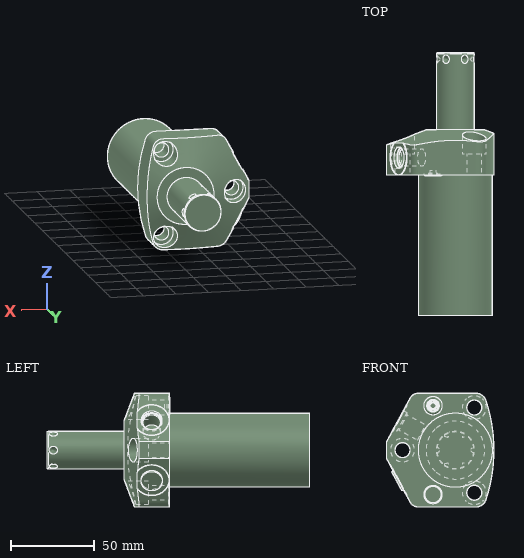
import cadquery as cq
import math


total_length = 157.4
flange_thickness = 27.2
body_length = 84.0
rod_length = total_length - flange_thickness - body_length
body_radius = 22.2
rod_radius = 11.3
rod_chamfer_length = 1.0
rod_chamfer_depth = 0.3

flange_left = -41.2
flange_right = 23.1
flange_half_height = 34.1
left_flat_half_height = 5.0
left_shoulder_x = -25.5
right_arc_radius = 94.4
left_corner_radius = 6.0
right_corner_radius = 6.6

front_face_radius = 17.5
cone_angle = math.radians(20.8)
cone_blank_radius = 63.0

mount_hole_radius = 4.4
mount_counterbore_radius = 7.1
mount_counterbore_floor_y = 12.6
mount_hole_places = [(-31.6, 0.0), (11.3, 25.5), (11.3, -25.5)]

back_port_x = -13.4
back_port_z = 26.6
back_port_radius = 5.5
ring_section_radius = 1.1
ring_protrusion = 0.5
back_bore_radius = 3.8
back_bore_floor_radius = 2.4
back_bore_depth = 1.3
back_pilot_radius = 1.7
back_pilot_depth = 2.8
back_plug_radius = 4.9
plug_groove_depth = 0.6

side_port_y = 10.5
side_port_z = 18.1
spotface_radius = 10.4
spotface_depth = 0.5
side_mouth_radius = 6.3
side_mouth_depth = 2.5
side_cone_radius = 5.7
side_bore_radius = 5.2
side_cone_end = 3.3
side_bore_end = 15.9
side_plug_radius = 6.5
side_plug_protrusion = 1.1

dimple_count = 6
dimple_radius = 2.5
dimple_setback = 4.0

cut_overlap = 1.5
backward = cq.Vector(0, -1, 0)
forward = cq.Vector(0, 1, 0)


def cylinder(radius, start, direction, length):
    return cq.Solid.makeCylinder(radius, length, start, direction)


def make_flange():
    arc_sag = right_arc_radius - math.sqrt(right_arc_radius**2 - flange_half_height**2)
    right_corner_x = flange_right - arc_sag
    plate = (
        cq.Workplane("XZ")
        .moveTo(flange_left, -left_flat_half_height)
        .lineTo(left_shoulder_x, -flange_half_height)
        .lineTo(right_corner_x, -flange_half_height)
        .threePointArc((flange_right, 0), (right_corner_x, flange_half_height))
        .lineTo(left_shoulder_x, flange_half_height)
        .lineTo(flange_left, left_flat_half_height)
        .close()
        .extrude(-flange_thickness)
    )
    for corner_x, radius in (
        (left_shoulder_x, left_corner_radius),
        (right_corner_x, right_corner_radius),
    ):
        for corner_z in (-flange_half_height, flange_half_height):
            corner = cq.selectors.NearestToPointSelector((corner_x, flange_thickness / 2, corner_z))
            plate = plate.edges("|Y").edges(corner).fillet(radius)

    rim_y = flange_thickness - (cone_blank_radius - front_face_radius) * math.tan(cone_angle)
    cone_blank = (
        cq.Workplane("XY")
        .polyline([
            (0, 0),
            (cone_blank_radius, 0),
            (cone_blank_radius, rim_y),
            (front_face_radius, flange_thickness),
            (0, flange_thickness),
        ])
        .close()
        .revolve(360, (0, 0), (0, 1))
    )
    flange = plate.intersect(cone_blank)
    for x, z in mount_hole_places:
        through_start = cq.Vector(x, 0, z)
        counterbore_start = cq.Vector(x, mount_counterbore_floor_y, z)
        flange = flange.cut(cylinder(mount_hole_radius, through_start, forward, flange_thickness))
        flange = flange.cut(cylinder(mount_counterbore_radius, counterbore_start, forward, flange_thickness))
    return flange


def make_rod():
    tip_y = flange_thickness + rod_length
    rod = (
        cq.Workplane("XY")
        .polyline([
            (0, 0),
            (rod_radius, 0),
            (rod_radius, tip_y - rod_chamfer_length),
            (rod_radius - rod_chamfer_depth, tip_y),
            (0, tip_y),
        ])
        .close()
        .revolve(360, (0, 0), (0, 1))
    )
    base_radius = dimple_radius + cut_overlap
    for index in range(dimple_count):
        angle = 2 * math.pi * index / dimple_count
        inward = cq.Vector(-math.cos(angle), 0, -math.sin(angle))
        base = inward * -(rod_radius + cut_overlap) + forward * (tip_y - dimple_setback)
        rod = rod.cut(cq.Solid.makeCone(base_radius, 0, base_radius, base, inward))
    return rod


def add_open_back_port(part):
    """Stepped bore with a sealing ring standing slightly proud of the back face."""
    mouth = cq.Vector(back_port_x, 0, back_port_z)
    bore = cq.Solid.makeCone(back_bore_radius, back_bore_floor_radius, back_bore_depth, mouth, forward)
    pilot = cylinder(back_pilot_radius, mouth, forward, back_pilot_depth)
    ring_y = ring_section_radius - ring_protrusion
    ring_radius = back_port_radius - ring_section_radius
    seat = cylinder(back_port_radius, mouth, forward, ring_y)
    ring = cq.Solid.makeTorus(ring_radius, ring_section_radius, mouth + forward * ring_y, forward)
    return part.cut(seat).union(ring).cut(bore).cut(pilot)


def add_plugged_back_port(part):
    """Flush plug outlined by a shallow annular groove."""
    mouth = cq.Vector(back_port_x, 0, -back_port_z)
    outer = cylinder(back_port_radius, mouth, forward, plug_groove_depth)
    plug = cylinder(back_plug_radius, mouth, forward, plug_groove_depth)
    return part.cut(outer.cut(plug))


def side_port_axis(side):
    """Mouth centre and inward direction on the upper (+1) or lower (-1) slanted face."""
    run = left_shoulder_x - flange_left
    rise = flange_half_height - left_flat_half_height
    mouth_x = flange_left + (side_port_z - left_flat_half_height) * run / rise
    mouth = cq.Vector(mouth_x, side_port_y, side * side_port_z)
    inward = cq.Vector(rise, 0, -side * run).normalized()
    return mouth, inward


def cut_spotface(part, mouth, inward):
    start = mouth - inward * cut_overlap
    return part.cut(cylinder(spotface_radius, start, inward, cut_overlap + spotface_depth))


def add_open_side_port(part):
    mouth, inward = side_port_axis(1)
    cone_length = side_cone_end - side_mouth_depth
    cone_start = mouth + inward * side_mouth_depth
    part = cut_spotface(part, mouth, inward)
    part = part.cut(cylinder(side_mouth_radius, mouth, inward, side_mouth_depth))
    part = part.cut(cq.Solid.makeCone(side_cone_radius, side_bore_radius, cone_length, cone_start, inward))
    return part.cut(cylinder(side_bore_radius, mouth, inward, side_bore_end))


def add_plugged_side_port(part):
    mouth, inward = side_port_axis(-1)
    part = cut_spotface(part, mouth, inward)
    plug_start = mouth - inward * side_plug_protrusion
    plug_length = side_plug_protrusion + spotface_depth + cut_overlap
    return part.union(cylinder(side_plug_radius, plug_start, inward, plug_length))


body = cq.Workplane(obj=cylinder(body_radius, cq.Vector(0, 0, 0), backward, body_length))
part = make_flange().union(body).union(make_rod())
part = add_open_back_port(part)
part = add_plugged_back_port(part)
part = add_open_side_port(part)
result = add_plugged_side_port(part)